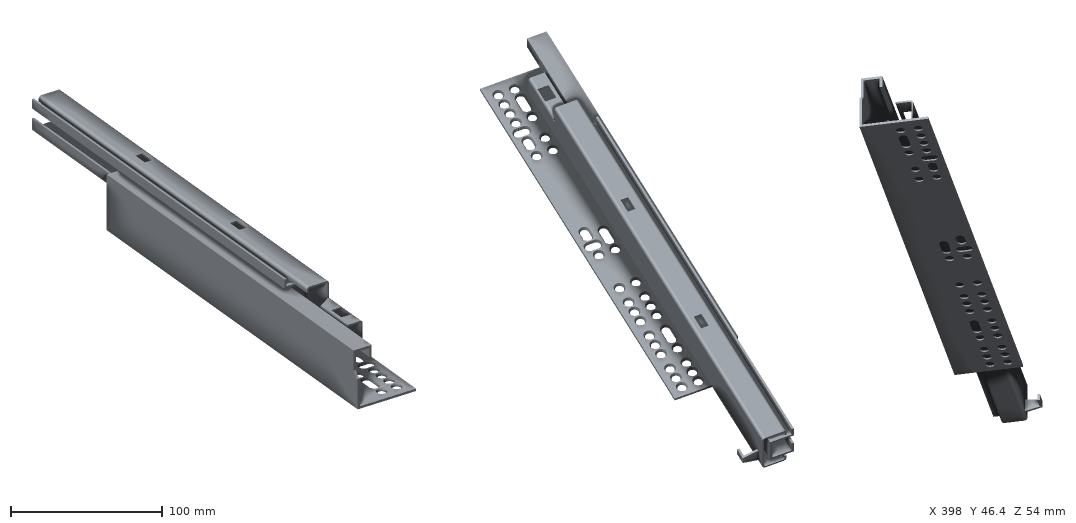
import cadquery as cq


bracket_front = 97.6
bracket_length = 300.4
bracket_end = bracket_front + bracket_length
bracket_depth = 46.4
bracket_top = 42.0
bracket_sheet = 1.8
bracket_flange_width = 14.4
bracket_lip_bottom = 33.4
end_notch_length = 5.0
end_notch_slope = 3.0
end_notch_step_z = 23.0
end_notch_slope_z = 27.0

hole_diameter = 6.0
countersink_diameter = 8.0
hole_grid = 32.0
hole_pitch = 9.0
first_hole = bracket_front + 7.5
outer_row_y = 37.6
inner_row_y = 25.6
short_slot_travel = 4.5
upright_slot_travel = 5.0
slot_gap = 11.0

drawer_rail_length = 321.0
drawer_rail_end = 361.0
drawer_rail_bottom = 24.2
drawer_rail_top = 54.0
drawer_rail_back = 28.5
drawer_rail_front = 10.8
drawer_sheet = 1.3
drawer_bend = 2.2
drawer_lip_height = 4.2
tail_top = 42.0
ledge_edge_y = 16.6
ledge_start = 322.6
ledge_taper = 6.0
top_window_length = 11.3
top_window_width = 5.6
top_window_y = 18.0
top_window_starts = (104.9, 218.0)
ledge_window_start = 337.9
ledge_window_length = 12.0
ledge_window_y = 19.0

hook_x = 6.1
hook_sheet = 1.7
hook_length = 8.8
hook_tip_y = 40.0
hook_root_z = (26.4, 35.8)
hook_tip_z = (29.0, 33.8)

middle_length = 302.5
middle_sheet = 1.6
middle_back = 22.8
middle_front = 5.4
middle_bottom = 30.2
middle_flange_top = 47.8
middle_upper_lip_top = 53.2
middle_lower_lip_top = 38.8


def block(x_range, y_range, z_range):
    """Box given by its limits along X, Y and Z."""
    size = [limits[1] - limits[0] for limits in (x_range, y_range, z_range)]
    return cq.Workplane("XY").box(*size, centered=False).translate((x_range[0], y_range[0], z_range[0]))



def countersunk_slot(x, y, travel=0.0, angle=0.0):
    """Cutter for a hole, or for a slot when it has travel, that widens up to the floor's top face."""
    top_radius = countersink_diameter / 2
    bottom_radius = hole_diameter / 2
    cone = cq.Solid.makeCone(bottom_radius, top_radius, bracket_sheet)
    cutter = cq.Workplane(obj=cone)
    if travel:
        ends = [cutter.translate((side * travel / 2, 0, 0)) for side in (-1, 1)]
        bar = (
            cq.Workplane("YZ", origin=(-travel / 2, 0, 0))
            .polyline([
                (-bottom_radius, 0),
                (bottom_radius, 0),
                (top_radius, bracket_sheet),
                (-top_radius, bracket_sheet),
            ])
            .close()
            .extrude(travel)
        )
        cutter = bar.union(ends[0]).union(ends[1])
    return cutter.rotate((0, 0, 0), (0, 0, 1), angle).translate((x, y, 0))


def grid_hole(step, offset=0):
    """X of a hole that lies some grid steps and hole pitches behind the first hole."""
    return first_hole + step * hole_grid + offset * hole_pitch


def floor_cutters():
    front_upright = grid_hole(4, 1)
    rear_upright = grid_hole(8, -1)
    rear_short_slot = rear_upright - slot_gap

    outer_holes = [grid_hole(step, offset) for step in range(3) for offset in range(3)]
    outer_holes += [grid_hole(3), grid_hole(4), grid_hole(7)]
    outer_holes += [grid_hole(8, offset) for offset in range(4)]

    inner_holes = [grid_hole(0, offset) for offset in range(3)]
    inner_holes += [grid_hole(1)]
    inner_holes += [grid_hole(2, offset) for offset in range(3)]
    inner_holes += [grid_hole(3), grid_hole(4), grid_hole(7), rear_short_slot, grid_hole(8), grid_hole(8, 3)]

    cutters = [countersunk_slot(x, outer_row_y) for x in outer_holes]
    cutters += [countersunk_slot(x, inner_row_y) for x in inner_holes]
    for x in (front_upright, rear_upright):
        cutters.append(countersunk_slot(x, outer_row_y, upright_slot_travel, angle=90))
    for x in (front_upright + slot_gap, rear_short_slot):
        cutters.append(countersunk_slot(x, outer_row_y, short_slot_travel))
    for step in (1, 4, 8):
        cutters.append(countersunk_slot(grid_hole(step, 1.5), inner_row_y, hole_pitch))
    return cutters


def make_bracket():
    flange_end = bracket_end - end_notch_length
    wall = (
        cq.Workplane("XZ")
        .polyline([
            (bracket_front, 0),
            (bracket_end, 0),
            (bracket_end, end_notch_step_z),
            (flange_end + end_notch_slope, end_notch_step_z),
            (flange_end, end_notch_slope_z),
            (flange_end, bracket_top),
            (bracket_front, bracket_top),
        ])
        .close()
        .extrude(-bracket_sheet)
    )
    floor = block((bracket_front, bracket_end), (0, bracket_depth), (0, bracket_sheet))
    for cutter in floor_cutters():
        floor = floor.cut(cutter)
    flange_x = (bracket_front, flange_end)
    flange = block(flange_x, (0, bracket_flange_width), (bracket_top - bracket_sheet, bracket_top))
    lip = block(
        flange_x,
        (bracket_flange_width - bracket_sheet, bracket_flange_width),
        (bracket_lip_bottom, bracket_top),
    )
    return wall.union(floor).union(flange).union(lip)



def lipped_channel(x_range, top):
    """C channel of bent sheet that opens toward the cabinet wall."""
    bottom = drawer_rail_bottom
    outside = block(x_range, (drawer_rail_front, drawer_rail_back), (bottom, top))
    inside = block(
        x_range,
        (drawer_rail_front + drawer_sheet, drawer_rail_back - drawer_sheet),
        (bottom + drawer_sheet, top - drawer_sheet),
    )
    opening = block(
        x_range,
        (drawer_rail_front, drawer_rail_front + drawer_sheet),
        (bottom + drawer_lip_height, top - drawer_lip_height),
    )
    outside = outside.edges("|X").fillet(drawer_bend)
    inside = inside.edges("|X").fillet(drawer_bend - drawer_sheet)
    return outside.cut(inside).cut(opening)


def make_tail():
    """Lower channel behind the rail, whose web is bent over into a ledge with a tapered corner."""
    tail_x = (drawer_rail_length, drawer_rail_end)
    ledge_z = (tail_top - drawer_bend, tail_top)
    tail = lipped_channel(tail_x, tail_top)
    lip_side = block(
        tail_x,
        (drawer_rail_front, ledge_edge_y),
        (drawer_rail_bottom + drawer_lip_height, tail_top),
    )
    relief = block((drawer_rail_length, ledge_start), (drawer_rail_front, drawer_rail_back), ledge_z)
    taper_root_y = drawer_rail_back - drawer_bend
    taper = (
        cq.Workplane("XY", origin=(0, 0, ledge_z[0]))
        .polyline([
            (ledge_start, taper_root_y),
            (ledge_start + ledge_taper, ledge_edge_y),
            (ledge_start, ledge_edge_y),
        ])
        .close()
        .extrude(drawer_bend)
    )
    window = block(
        (ledge_window_start, ledge_window_start + ledge_window_length),
        (ledge_window_y, drawer_rail_back - drawer_sheet),
        ledge_z,
    )
    return tail.cut(lip_side).cut(relief).cut(taper).cut(window)


def make_hook():
    """Tapered tab standing on the web, with its tip bent along the rail."""
    tab = (
        cq.Workplane("YZ", origin=(hook_x, 0, 0))
        .polyline([
            (drawer_rail_back, hook_root_z[0]),
            (drawer_rail_back, hook_root_z[1]),
            (hook_tip_y, hook_tip_z[1]),
            (hook_tip_y, hook_tip_z[0]),
        ])
        .close()
        .extrude(hook_sheet)
    )
    tip = block((hook_x, hook_x + hook_length), (hook_tip_y - hook_sheet, hook_tip_y), hook_tip_z)
    return tab.union(tip)


def make_drawer_rail():
    rail = lipped_channel((0, drawer_rail_length), drawer_rail_top)
    for start in top_window_starts:
        window = block(
            (start, start + top_window_length),
            (top_window_y, top_window_y + top_window_width),
            (drawer_rail_top - drawer_sheet, drawer_rail_top),
        )
        rail = rail.cut(window)
    return rail.union(make_tail()).union(make_hook())



def make_middle_rail():
    """Web with two flanges toward the cabinet wall, each ending in an upward lip."""
    along = (0, middle_length)
    across = (middle_front, middle_back)
    lip_y = (middle_front, middle_front + middle_sheet)
    web = block(along, (middle_back - middle_sheet, middle_back), (middle_bottom, middle_flange_top))
    top_flange = block(along, across, (middle_flange_top - middle_sheet, middle_flange_top))
    upper_lip = block(along, lip_y, (middle_flange_top - middle_sheet, middle_upper_lip_top))
    bottom_flange = block(along, across, (middle_bottom, middle_bottom + middle_sheet))
    lower_lip = block(along, lip_y, (middle_bottom, middle_lower_lip_top))
    return web.union(top_flange).union(upper_lip).union(bottom_flange).union(lower_lip)


bracket = make_bracket()
drawer_rail = make_drawer_rail()
middle_rail = make_middle_rail()

result = cq.Compound.makeCompound([bracket.val(), drawer_rail.val(), middle_rail.val()])